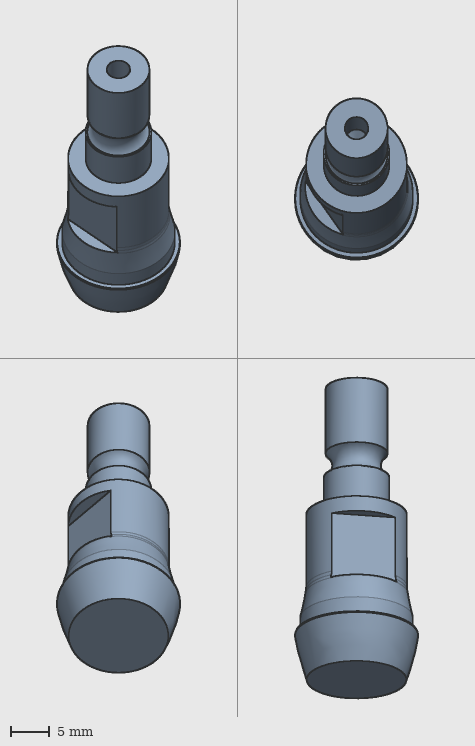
import cadquery as cq
import math

rim_bottom_z = 6.15
rim_top_z = 6.35
collar_top_z = 8.6
crown_top_z = 11.9
flat_bottom_z = 11.97
neck_bottom_z = 12.35
neck_top_z = 12.85
flat_top_z = 20.87
shoulder_z = 22.95
groove_bottom_z = 28.1
groove_top_z = 31.45
pin_top_z = 40.45

bottom_radius = 6.45
rim_radius = 7.95
rim_chamfer = 0.1

collar_radius = 7.3
crown_radius = 6.65
neck_radius = 6.55
barrel_radius = 6.5

skirt_bulge = 0.15
crown_bulge = -0.05

across_flats = 10.05

pin_lower_radius = 4.25
pin_upper_radius = 4.0
groove_radius = 3.15

hole_radius = 1.5
hole_depth = 6.05
drill_tip_angle = 118


def bulged_midpoint(start, end, bulge):
    """Middle of the chord from start to end, moved outward along the radius."""
    return ((start[0] + end[0]) / 2 + bulge, (start[1] + end[1]) / 2)


def revolve_about_z(profile):
    return profile.close().revolve(360, (0, 0, 0), (0, 1, 0))


def make_flat_cutter(side):
    """Block that removes the barrel beyond one wrench flat; side is -1 or 1 along Y."""
    block_depth = rim_radius
    return cq.Workplane("XY").box(
        2 * rim_radius, block_depth, flat_top_z - flat_bottom_z, centered=(True, True, False)
    ).translate((0, side * (across_flats + block_depth) / 2, flat_bottom_z))


def make_ring():
    """Flared end ring that the stem stands on."""
    skirt_start = (bottom_radius, 0)
    skirt_end = (rim_radius, rim_bottom_z)
    profile = (
        cq.Workplane("XZ")
        .lineTo(*skirt_start)
        .threePointArc(bulged_midpoint(skirt_start, skirt_end, skirt_bulge), skirt_end)
        .lineTo(rim_radius - rim_chamfer, rim_top_z)
        .lineTo(0, rim_top_z)
    )
    return revolve_about_z(profile)


def make_pin_hole():
    """Drilled blind hole with a conical tip, opening at the top of the pin."""
    tip_height = hole_radius / math.tan(math.radians(drill_tip_angle / 2))
    hole_floor_z = pin_top_z - hole_depth
    profile = (
        cq.Workplane("XZ")
        .moveTo(0, pin_top_z)
        .lineTo(hole_radius, pin_top_z)
        .lineTo(hole_radius, hole_floor_z)
        .lineTo(0, hole_floor_z - tip_height)
    )
    return revolve_about_z(profile)


def make_stem():
    """Stem turned in one piece: collar, crown, barrel with wrench flats, and grooved pin."""
    crown_start = (collar_radius, collar_top_z)
    crown_end = (crown_radius, crown_top_z)
    groove_middle_z = (groove_bottom_z + groove_top_z) / 2
    profile = (
        cq.Workplane("XZ")
        .moveTo(0, rim_top_z)
        .lineTo(collar_radius, rim_top_z)
        .lineTo(*crown_start)
        .threePointArc(bulged_midpoint(crown_start, crown_end, crown_bulge), crown_end)
        .lineTo(neck_radius, neck_bottom_z)
        .lineTo(barrel_radius, neck_top_z)
        .lineTo(barrel_radius, shoulder_z)
        .lineTo(pin_lower_radius, shoulder_z)
        .lineTo(pin_lower_radius, groove_bottom_z)
        .lineTo(pin_upper_radius, groove_bottom_z)
        .threePointArc((groove_radius, groove_middle_z), (pin_upper_radius, groove_top_z))
        .lineTo(pin_upper_radius, pin_top_z)
        .lineTo(0, pin_top_z)
    )
    stem = revolve_about_z(profile)
    for side in (-1, 1):
        stem = stem.cut(make_flat_cutter(side))
    return stem.cut(make_pin_hole())


ring = make_ring()
stem = make_stem()

result = cq.Compound.makeCompound([ring.val(), stem.val()])